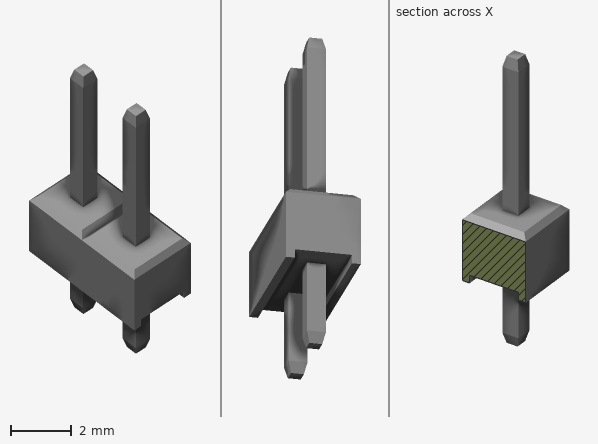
import cadquery as cq

pin_count = 2
pitch = 2.54
block_chamfer = 0.2
slot_depth = 0.3
foot_width = 0.3
pin_width = 0.64
tip_width = 0.44
tip_length = 0.4
pin_above = 5.9
pin_below = 2.54

slot_width = pitch - 2 * foot_width
shank_length = pin_below + pitch + pin_above - 2 * tip_length
shank_bottom = tip_length - pin_below
shank_top = shank_bottom + shank_length


def housing_block():
    """Cubic block standing on Z = 0, bevelled on top and slotted along X underneath."""
    block = (
        cq.Workplane("XY")
        .box(pitch, pitch, pitch, centered=(True, True, False))
        .faces(">Z")
        .chamfer(block_chamfer)
    )
    slot = cq.Workplane("XY").box(pitch, slot_width, slot_depth, centered=(True, True, False))
    return block.cut(slot)


def pin_tip(base_height, tip_height):
    """Square tapered tip running from the shank end to the pin end."""
    return (
        cq.Workplane("XY", origin=(0, 0, base_height))
        .rect(pin_width, pin_width)
        .workplane(offset=tip_height - base_height)
        .rect(tip_width, tip_width)
        .loft(combine=True)
    )


def pin():
    """Square pin, tapered at both ends."""
    shank = (
        cq.Workplane("XY", origin=(0, 0, shank_bottom))
        .rect(pin_width, pin_width)
        .extrude(shank_length)
    )
    upper_tip = pin_tip(shank_top, shank_top + tip_length)
    lower_tip = pin_tip(shank_bottom, shank_bottom - tip_length)
    return shank.union(upper_tip).union(lower_tip)


position = housing_block().union(pin())
first_x = -(pin_count - 1) * pitch / 2
result = position.translate((first_x, 0, 0))
for index in range(1, pin_count):
    result = result.union(position.translate((first_x + index * pitch, 0, 0)))